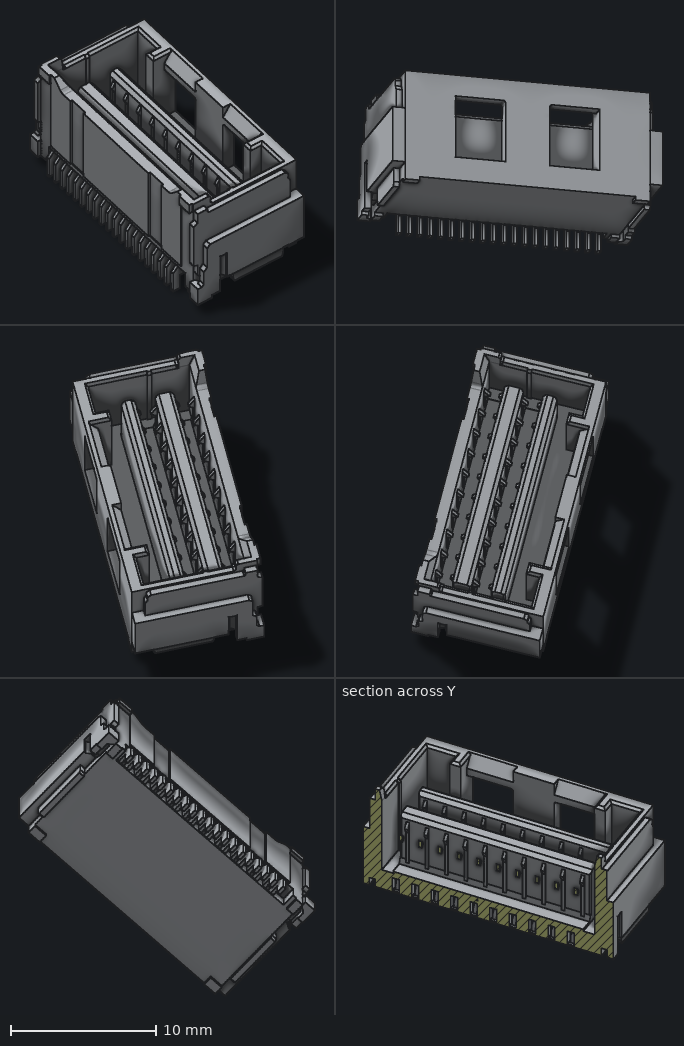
import cadquery as cq


half_width = 8.75
front_y = 0.3
back_y = 9.2
base_z = 1.06
foot_z = 0.81
rim_z = 8.75
corner_z = 9.55
corner_depth = 1.99
corner_back = 1.81
corner_bevel = 0.15

cavity_half = 8.18
cavity_front = 1.06
cavity_back = 8.25
floor_z = 2.75
lead_in = 0.2
guide_inner = 5.15
guide_outer = 6.0
guide_tip = 7.3
side_rib_y = 3.9
side_rib_width = 0.3
side_rib_height = 0.08

window_inner = 1.58
window_top = 7.2
window_fillet = 0.2
head_back = 8.88
head_z = 7.82

panel_half = 7.47
panel_y = 0.21
groove_inner = 3.72
groove_outer = 5.23
groove_y = 0.37
dip_top = 7.06
dip_drop = corner_z - rim_z
dip_fillet = 0.55
corner_slope_y = 0.65
corner_tab_outer = 8.63
corner_tab_y = 0.05
pin_recess_half = 7.84
pin_recess_y = 1.27
pin_recess_z = 2.32

front_foot_inner = 8.15
front_foot_back = 1.27
rear_foot_inner = 7.7
rear_foot_front = 8.53

bar_half = 7.33
bar_top = 7.1
bar_bevel = 0.29
bar_corner = 0.12
rear_bar = (5.11, 6.12)
front_bar = (2.37, 3.72)
front_face_flare = 0.15
rear_face_flare = 0.12
flare_height = 0.46
platform_step = 0.15

pin_count = 20
pin_row_length = 14.25
pin_pitch = pin_row_length / (pin_count - 1)
pin_width = 0.25
pin_depth = 0.58
pin_shoulder_z = 1.7
pin_slope_y = 0.55
tail_pocket_z = 1.24
tail_pocket_top = 2.28
tail_pocket_depth = 0.39
tail_width = 0.29
tail_slope = 0.2
contact_top = 6.6
contact_knee = 6.14
contact_reach = 0.25
spring_knee = 5.89
spring_reach = 0.45
stem_reach = 0.08
stem_drop = 0.39

inner_plate_x = 9.17
outer_plate_x = 9.65
plate_front = 0.04
plate_back = 9.19
plate_top = 6.0
plate_bottom = 2.07
inner_plate_back = 8.35
solder_foot_depth = 0.39
solder_foot_z = 2.32
solder_foot_gusset = 0.35
solder_tab = (3.45, 7.75)
solder_tab_z = 0.75
solder_tab_taper = 0.12
plate_chamfer = 0.25

inner_plate_top = 8.55
ear_z = 7.91
ear_slope = 0.3
ear_step = 0.17
horn_back = 1.24
horn_top = 8.92
horn_chamfer = 0.12
nose_top = 7.85
nose_slope = 0.21
nose_bottom = 4.15
nose_undercut = 0.12
neck_y = 0.39
neck_bottom = 2.91
neck_chamfer = 0.2
neck_back = 0.96
skirt_drop = 0.37

shoulder_y = 0.85
shin_y = 0.56
shin_top = 3.65
shin_step = 0.29
shin_chamfer = 0.2
slot_front = 1.95
slot_back_inner = 2.35
slot_back_outer = 2.57
slot_step = 0.17
slot_top = 4.32

overlap = 0.1
clear = 0.96


def box(x0, x1, y0, y1, z0, z1):
    return cq.Workplane("XY").box(x1 - x0, y1 - y0, z1 - z0, centered=False).translate((x0, y0, z0))


def prism_x(points, x0, x1):
    """Outline of (y, z) points extruded from x0 to x1."""
    return cq.Workplane("YZ").polyline(points).close().extrude(x1 - x0).translate((x0, 0, 0))


def prism_y(points, y0, y1):
    """Outline of (x, z) points extruded from y0 to y1."""
    return cq.Workplane("XZ").polyline(points).close().extrude(y0 - y1).translate((0, y0, 0))


def both_sides(body):
    return body.union(body.mirror("YZ"))


def pin_x(index):
    return (index - pin_count / 2) * pin_pitch


def cavity_points(front, growth=0.0):
    """Plan of the cavity around the two guide ribs; growth widens all but its front edge."""
    back = cavity_back + growth
    right = [
        (cavity_half + growth, front),
        (cavity_half + growth, back),
        (guide_outer - growth, back),
        (guide_outer - growth, guide_tip + growth),
        (guide_inner + growth, guide_tip + growth),
        (guide_inner + growth, back),
    ]
    left = [(-x, y) for x, y in reversed(right)]
    return right + left


def make_shell():
    side_outline = [
        (front_y, base_z),
        (back_y, base_z),
        (back_y, rim_z),
        (corner_depth, rim_z),
        (corner_back, rim_z + corner_depth - corner_back),
        (corner_back, corner_z - corner_bevel),
        (corner_back - corner_bevel, corner_z),
        (front_y, corner_z),
    ]
    shell = prism_x(side_outline, -half_width, half_width)
    panel = box(-panel_half, panel_half, panel_y, front_y + overlap, floor_z, corner_z)
    shell = shell.union(panel)

    feet = box(front_foot_inner, half_width, front_y, front_foot_back, foot_z, base_z + overlap)
    feet = feet.union(box(rear_foot_inner, half_width, rear_foot_front, back_y, foot_z, base_z + overlap))
    corner_tab = box(panel_half, corner_tab_outer, corner_tab_y, front_y + overlap, rim_z, corner_z)
    groove = box(groove_inner, groove_outer, 0, groove_y, floor_z, corner_z)
    shell = shell.union(both_sides(feet.union(corner_tab))).cut(both_sides(groove))

    recess = box(-pin_recess_half, pin_recess_half, 0, pin_recess_y, 0, pin_recess_z)
    return shell.cut(recess)


def cut_cavity(shell):
    cavity = cq.Workplane("XY").polyline(cavity_points(cavity_front)).close().extrude(corner_z)
    lead = (
        cq.Workplane("XY")
        .polyline(cavity_points(corner_back))
        .close()
        .workplane(offset=lead_in)
        .polyline(cavity_points(corner_back, lead_in))
        .close()
        .loft(ruled=True)
    )
    shell = shell.cut(cavity.translate((0, 0, floor_z))).cut(lead.translate((0, 0, rim_z - lead_in)))

    corner_slope = [
        (corner_slope_y, corner_z),
        (cavity_front, rim_z),
        (corner_depth + clear, rim_z),
        (corner_depth + clear, corner_z),
    ]
    mouth_half = cavity_half + lead_in
    mouth = [(-mouth_half, corner_z), (-cavity_half, rim_z), (cavity_half, rim_z), (mouth_half, corner_z)]
    corner_cut = prism_x(corner_slope, -mouth_half, mouth_half)
    shell = shell.cut(corner_cut.intersect(prism_y(mouth, 0, corner_depth + clear)))

    dip_bottom = dip_top - dip_drop
    dip_outline = [(-dip_top, corner_z), (-dip_bottom, rim_z), (dip_bottom, rim_z), (dip_top, corner_z)]
    dip = prism_y(dip_outline, -clear, corner_depth).edges("|Y and <Z").fillet(dip_fillet)
    shell = shell.cut(dip)

    rib_face = cavity_half - side_rib_height
    rib_outline = [
        (rib_face, floor_z),
        (cavity_half + lead_in + overlap, floor_z),
        (cavity_half + lead_in + overlap, rim_z),
        (rib_face + lead_in, rim_z),
        (rib_face, rim_z - lead_in),
    ]
    rib = prism_y(rib_outline, side_rib_y - side_rib_width / 2, side_rib_y + side_rib_width / 2)
    return shell.union(both_sides(rib))


def cut_windows(shell):
    middle_tab = box(-window_inner, window_inner, cavity_back, back_y, rim_z - 2 * lead_in, rim_z)
    shell = shell.union(middle_tab)

    window = box(window_inner, guide_inner, cavity_back - overlap, back_y + clear, floor_z, window_top)
    window = window.edges("|Y and >Z and <X").fillet(window_fillet)
    sloped_head = [
        (head_back, rim_z),
        (cavity_back, head_z),
        (guide_tip, head_z),
        (guide_tip, rim_z),
    ]
    head = prism_x(sloped_head, window_inner, guide_inner)
    guide_bevel = [
        (guide_inner, rim_z),
        (guide_inner, rim_z - lead_in),
        (guide_inner + lead_in, rim_z),
    ]
    bevel = prism_y(guide_bevel, guide_tip, head_back)
    return shell.cut(both_sides(window.union(head).union(bevel)))


def make_bar(span):
    """Contact bar with bevelled top edges and cut corners."""
    front, back = span
    outline = [
        (front, floor_z),
        (front, bar_top - bar_bevel),
        (front + bar_bevel, bar_top),
        (back - bar_bevel, bar_top),
        (back, bar_top - bar_bevel),
        (back, floor_z),
    ]
    bar = prism_x(outline, -bar_half, bar_half)
    plan = box(-bar_half, bar_half, front, back, 0, corner_z)
    return bar.intersect(plan.edges("|Z").chamfer(bar_corner))


def make_flare(face_y, reach):
    """Steep fillet strip at the foot of a contact face; reach is signed."""
    outline = [
        (face_y - reach, floor_z),
        (face_y + reach, floor_z),
        (face_y + reach, floor_z + platform_step),
        (face_y, floor_z + platform_step + flare_height),
        (face_y - reach, floor_z + platform_step + flare_height),
    ]
    return prism_x(outline, -bar_half, bar_half)


def make_bars():
    bars = box(-bar_half, bar_half, cavity_front - overlap, rear_bar[1],
               floor_z - overlap, floor_z + platform_step)
    for span in (rear_bar, front_bar):
        bars = bars.union(make_bar(span))
    for face in (rear_bar[0], front_bar[0]):
        bars = bars.union(make_flare(face, -front_face_flare))
    for face in (front_bar[1], cavity_front):
        bars = bars.union(make_flare(face, rear_face_flare))
    return bars


def make_contact(face_y, reach, knee_z, center_x):
    """Contact standing out of a bar face: a bent spring over a flat stem; reach is signed."""
    side = 1 if reach > 0 else -1
    inside = face_y - side * overlap
    stem = face_y + side * stem_reach
    outline = [
        (inside, floor_z),
        (stem, floor_z),
        (stem, knee_z - stem_drop),
        (face_y + reach, knee_z),
        (face_y, contact_top),
        (inside, contact_top),
    ]
    return prism_x(outline, center_x - pin_width / 2, center_x + pin_width / 2)


def add_contacts(body):
    for index in range(1, pin_count, 2):
        center = pin_x(index)
        for face in (rear_bar[0], front_bar[0]):
            body = body.union(make_contact(face, -contact_reach, contact_knee, center))
        for face in (front_bar[1], cavity_front):
            body = body.union(make_contact(face, spring_reach, spring_knee, center))
    return body


def add_pins(body):
    pin_outline = [
        (0, 0),
        (pin_depth, 0),
        (pin_depth, tail_pocket_z),
        (pin_recess_y + overlap, tail_pocket_z),
        (pin_recess_y + overlap, pin_recess_z + overlap),
        (pin_slope_y, pin_recess_z + overlap),
        (pin_slope_y, pin_recess_z),
        (0, pin_shoulder_z),
    ]
    pocket_back = pin_recess_y + tail_pocket_depth
    tail_outline = [
        (pocket_back - tail_slope, tail_pocket_z),
        (pocket_back + overlap, tail_pocket_z),
        (pocket_back + overlap, tail_pocket_top),
        (pocket_back, tail_pocket_top),
    ]
    for index in range(0, pin_count, 2):
        left = pin_x(index) + pin_width / 2
        right = pin_x(index + 1) - pin_width / 2
        middle = (left + right) / 2
        body = body.cut(box(left, right, 0, pocket_back, tail_pocket_z, tail_pocket_top))
        body = body.union(prism_x(tail_outline, middle - tail_width / 2, middle + tail_width / 2))
    for index in range(pin_count):
        center = pin_x(index)
        body = body.union(prism_x(pin_outline, center - pin_width / 2, center + pin_width / 2))
    return body


def make_inner_plate():
    outline = [
        (inner_plate_back, plate_bottom),
        (inner_plate_back, ear_z - ear_slope),
        (inner_plate_back - ear_step, ear_z),
        (inner_plate_back - ear_step, inner_plate_top - plate_chamfer),
        (inner_plate_back - ear_step - plate_chamfer, inner_plate_top),
        (horn_back + horn_chamfer, inner_plate_top),
        (horn_back, inner_plate_top + horn_chamfer),
        (horn_back, horn_top),
        (neck_y, horn_top),
        (neck_y, nose_top + nose_slope),
        (plate_front, nose_top),
        (plate_front, nose_bottom),
        (neck_y, nose_bottom - nose_undercut),
        (neck_y, neck_bottom + neck_chamfer),
        (neck_y + neck_chamfer, neck_bottom),
        (neck_back, neck_bottom),
        (neck_back, plate_bottom - skirt_drop),
        (slot_front, plate_bottom - skirt_drop),
        (slot_back_inner, plate_bottom),
    ]
    tab_front_y, tab_back_y = solder_tab
    tab_outline = [
        (tab_front_y, plate_bottom + overlap),
        (tab_front_y, base_z),
        (tab_front_y + solder_tab_taper, solder_tab_z),
        (tab_back_y - solder_tab_taper, solder_tab_z),
        (tab_back_y, base_z),
        (tab_back_y, plate_bottom + overlap),
    ]
    plate = prism_x(outline, half_width, inner_plate_x)
    return plate.union(prism_x(tab_outline, half_width, inner_plate_x))


def make_outer_plate():
    outline = [
        (plate_back, plate_bottom),
        (plate_back, plate_top),
        (shoulder_y + plate_chamfer, plate_top),
        (shoulder_y, plate_top - plate_chamfer),
        (shoulder_y, shin_top + shin_step),
        (shin_y, shin_top),
        (shin_y, solder_foot_z + shin_chamfer),
        (solder_foot_depth, solder_foot_z),
        (plate_front, solder_foot_z),
        (plate_front, foot_z),
        (front_foot_back, foot_z),
        (front_foot_back, base_z),
        (slot_front, base_z),
        (slot_front, plate_bottom),
    ]
    plate = prism_x(outline, inner_plate_x, outer_plate_x)
    slot = (
        cq.Workplane("XY")
        .polyline([
            (inner_plate_x, slot_front),
            (outer_plate_x, slot_front),
            (outer_plate_x, slot_back_outer),
            (outer_plate_x - slot_step, slot_back_outer),
            (inner_plate_x, slot_back_inner),
        ])
        .close()
        .extrude(slot_top)
    )
    plate = plate.cut(slot)
    front_bend = (
        cq.Workplane("XY")
        .polyline([
            (half_width, plate_front),
            (outer_plate_x, plate_front),
            (outer_plate_x, solder_foot_depth),
            (inner_plate_x, solder_foot_depth + solder_foot_gusset),
            (half_width, solder_foot_depth),
        ])
        .close()
        .extrude(solder_foot_z - foot_z)
        .translate((0, 0, foot_z))
    )
    back_bend = box(half_width, outer_plate_x, inner_plate_back, plate_back, plate_bottom, plate_top)
    return plate.union(front_bend).union(back_bend)


housing = cut_windows(cut_cavity(make_shell()))
connector = add_pins(add_contacts(housing.union(make_bars())))
result = connector.union(both_sides(make_inner_plate())).union(both_sides(make_outer_plate()))